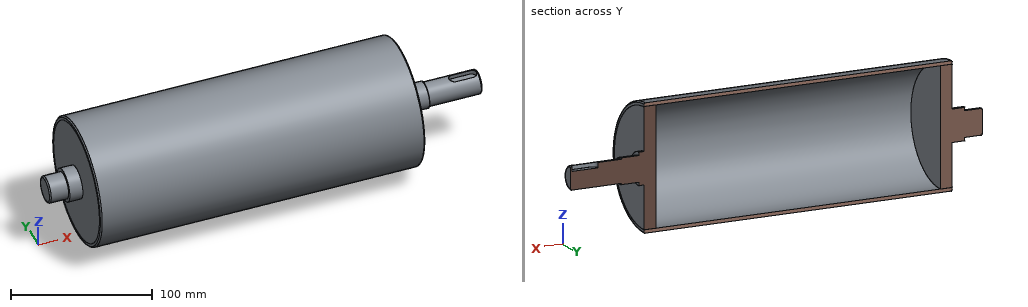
import cadquery as cq

TOTAL_LENGTH = 327.5
IDLE_JOURNAL_LENGTH = 14.0
IDLE_COLLAR_LENGTH = 9.8
DRIVE_COLLAR_LENGTH = 4.0
DRIVE_JOURNAL_LENGTH = 14.0
DRIVE_SHANK_LENGTH = 40.3

DRUM_DIAMETER = 96.0
DRUM_BORE = 90.0
DRUM_CHAMFER = 1.0

DISC_THICKNESS = 9.8
COLLAR_DIAMETER = 25.0
JOURNAL_DIAMETER = 20.0
SHANK_DIAMETER = 18.0
SHAFT_CHAMFER = 1.0

KEYWAY_WIDTH = 7.5
KEYWAY_LENGTH = 20.5
KEYWAY_DEPTH = 4.0
KEYWAY_END_GAP = 1.3

X_MIN = -TOTAL_LENGTH / 2
X_MAX = TOTAL_LENGTH / 2
DRUM_X_MIN = X_MIN + IDLE_JOURNAL_LENGTH + IDLE_COLLAR_LENGTH
DRUM_X_MAX = X_MAX - DRIVE_SHANK_LENGTH - DRIVE_JOURNAL_LENGTH - DRIVE_COLLAR_LENGTH


def cylinder_along_x(x_start, length, diameter):
    """Solid cylinder on the X axis, running toward +X from x_start."""
    return cq.Workplane("YZ", origin=(x_start, 0, 0)).circle(diameter / 2).extrude(length)


def make_drum():
    """Open tube with chamfered outer rims."""
    length = DRUM_X_MAX - DRUM_X_MIN
    outside = cylinder_along_x(DRUM_X_MIN, length, DRUM_DIAMETER).edges("%CIRCLE").chamfer(DRUM_CHAMFER)
    return outside.cut(cylinder_along_x(DRUM_X_MIN, length, DRUM_BORE))


def make_idle_stub():
    """Disc, collar and journal at the -X end."""
    journal = cylinder_along_x(X_MIN, IDLE_JOURNAL_LENGTH, JOURNAL_DIAMETER)
    journal = journal.faces("<X").chamfer(SHAFT_CHAMFER)
    collar = cylinder_along_x(X_MIN + IDLE_JOURNAL_LENGTH, IDLE_COLLAR_LENGTH, COLLAR_DIAMETER)
    disc = cylinder_along_x(DRUM_X_MIN, DISC_THICKNESS, DRUM_BORE)
    return disc.union(collar).union(journal)


def make_keyway_cutter():
    """Round-ended slot that opens through the top of the drive shank."""
    center_x = X_MAX - KEYWAY_END_GAP - KEYWAY_LENGTH / 2
    floor_z = SHANK_DIAMETER / 2 - KEYWAY_DEPTH
    floor = cq.Workplane("XY", origin=(center_x, 0, floor_z))
    return floor.slot2D(KEYWAY_LENGTH, KEYWAY_WIDTH).extrude(SHANK_DIAMETER)


def make_drive_stub():
    """Disc, collar, journal and keyed shank at the +X end."""
    journal_x = DRUM_X_MAX + DRIVE_COLLAR_LENGTH
    shank_x = journal_x + DRIVE_JOURNAL_LENGTH
    disc = cylinder_along_x(DRUM_X_MAX - DISC_THICKNESS, DISC_THICKNESS, DRUM_BORE)
    collar = cylinder_along_x(DRUM_X_MAX, DRIVE_COLLAR_LENGTH, COLLAR_DIAMETER)
    journal = cylinder_along_x(journal_x, DRIVE_JOURNAL_LENGTH, JOURNAL_DIAMETER)
    shank = cylinder_along_x(shank_x, DRIVE_SHANK_LENGTH, SHANK_DIAMETER)
    shank = shank.faces(">X").chamfer(SHAFT_CHAMFER)
    return disc.union(collar).union(journal).union(shank).cut(make_keyway_cutter())


drum = make_drum()
idle_stub = make_idle_stub()
drive_stub = make_drive_stub()

result = cq.Compound.makeCompound([drum.val(), idle_stub.val(), drive_stub.val()])